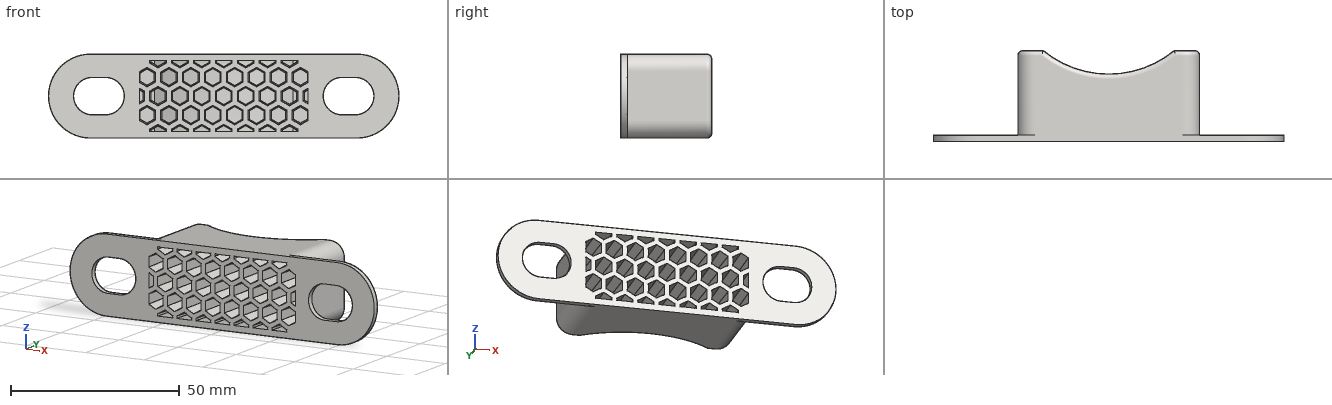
import cadquery as cq
import math

plate_length = 104.0
plate_height = 25.0
plate_thickness = 2.0

slot_length = 15.0
slot_height = 11.0
slot_offset = 37.0

block_length = 54.0
block_depth = 27.0
block_corner_radius = 5.0
rim_radius = 1.6

cradle_radius = 30.6
cradle_depth = 7.0
cradle_axis_y = block_depth - cradle_depth + cradle_radius

wall = 2.0
floor = 3.0
cell_width = 5.0
cell_draft = 1.0
cell_diameter = cell_width * 2 / math.sqrt(3)
long_row_span = 52.0
long_row_cells = 9
cell_pitch = long_row_span / (long_row_cells - 1)
row_pitch = cell_pitch * math.sqrt(3) / 2
hexagon_turn = 30

def centered_columns(count):
    """Column positions of a row of cells, in cell pitches from the middle."""
    return [i - (count - 1) / 2 for i in range(count)]


cell_rows = {
    -2: centered_columns(long_row_cells - 2),
    -1: centered_columns(long_row_cells - 1),
    0: centered_columns(long_row_cells),
    1: centered_columns(long_row_cells - 1),
    2: centered_columns(long_row_cells - 2),
}


def extrude_y(sketch, depth, draft=0):
    """Extrude an XZ sketch from y = 0 toward +Y, narrowing by the draft angle."""
    return sketch.extrude(-depth, taper=draft)


def make_rounded_bar(length, height, depth, corner_radius):
    bar = extrude_y(cq.Workplane("XZ").rect(length, height), depth)
    return bar.edges("|Y").fillet(corner_radius)


def make_cradle_cylinder(radius):
    """Cylinder along Z about the cradle axis, longer than the part is high."""
    return cq.Workplane("XY").center(0, cradle_axis_y).circle(radius).extrude(plate_height, both=True)


def make_plate():
    plate = extrude_y(cq.Workplane("XZ").slot2D(plate_length, plate_height), plate_thickness)
    slots = cq.Workplane("XZ").pushPoints([(-slot_offset, 0), (slot_offset, 0)])
    return plate.cut(extrude_y(slots.slot2D(slot_length, slot_height), plate_thickness))


def make_block():
    """Block with the cradle cut and its whole outer rim rounded."""
    block = make_rounded_bar(block_length, plate_height, block_depth, block_corner_radius)
    block = block.cut(make_cradle_cylinder(cradle_radius))
    end_rim = block.faces(">Y").edges("not |Z")
    cradle_floor = block.faces(cq.selectors.NearestToPointSelector((0, block_depth - cradle_depth, 0)))
    cradle_rim = cradle_floor.edges("not |Z")
    return end_rim.add(cradle_rim).fillet(rim_radius)


def make_core():
    """Space that the cells may fill: the block less its walls and floor."""
    core = make_rounded_bar(
        block_length - 2 * wall,
        plate_height - 2 * wall,
        block_depth - floor,
        block_corner_radius - wall,
    )
    return core.cut(make_cradle_cylinder(cradle_radius + floor))


def make_cells():
    """Hexagonal prisms with their corners up and down, trimmed to the core."""
    cells = cq.Workplane("XZ")
    for row, columns in cell_rows.items():
        for column in columns:
            center = (column * cell_pitch, 0, row * row_pitch)
            sketch = cq.Workplane("XZ", origin=center).transformed(rotate=(0, 0, hexagon_turn))
            cells = cells.add(extrude_y(sketch.polygon(6, cell_diameter), block_depth, cell_draft))
    return make_core().intersect(cells.combine())


result = make_plate().union(make_block()).cut(make_cells())